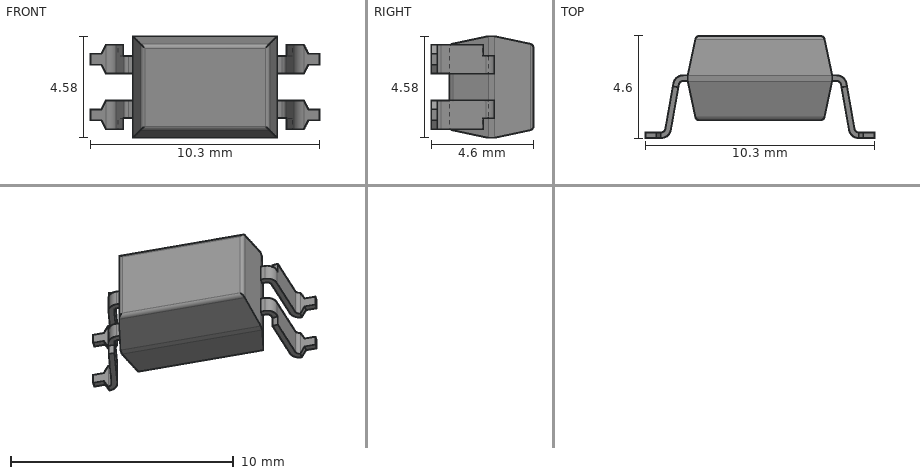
import cadquery as cq
import math

overall_length = 10.3
housing_length = 6.5
housing_height = 4.58
housing_depth = 3.8
band_thickness = 0.26
draft_angle = 12
housing_edge_radius = 0.2
standoff = 0.8

lead_thickness = band_thickness
lead_width = 1.3
lead_gap = 1.2
neck_width = 0.8
neck_leg_length = 0.12
bend_inner_radius = 0.2
bend_outer_radius = bend_inner_radius + lead_thickness
leg_angle = math.radians(10)
foot_length = 0.7
tip_length = 0.5
tip_width = 0.5

housing_end_x = housing_length / 2
lead_end_x = overall_length / 2
lead_top_y = lead_thickness / 2
foot_bottom_y = -housing_depth / 2 - standoff
foot_top_y = foot_bottom_y + lead_thickness
lead_inner_z = lead_gap / 2
lead_outer_z = lead_inner_z + lead_width
foot_start_x = lead_end_x - foot_length

upper_center_y = lead_top_y - bend_outer_radius
lower_center_y = foot_bottom_y + bend_outer_radius
centers_drop = upper_center_y - lower_center_y
radius_sum = bend_inner_radius + bend_outer_radius
centers_run = centers_drop * math.tan(leg_angle) + radius_sum / math.cos(leg_angle)
upper_center = (foot_start_x - centers_run, upper_center_y)
lower_center = (foot_start_x, lower_center_y)


def make_housing():
    """Block drafted to both sides of a straight band, with rounded rims on its two large faces."""
    draft_height = (housing_depth - band_thickness) / 2

    def drafted_half(side):
        return (
            cq.Workplane("XZ", origin=(0, side * band_thickness / 2, 0))
            .rect(housing_length, housing_height)
            .extrude(-side * draft_height, taper=draft_angle)
        )

    band = (
        cq.Workplane("XZ", origin=(0, band_thickness / 2, 0))
        .rect(housing_length, housing_height)
        .extrude(band_thickness)
    )
    block = band.union(drafted_half(1)).union(drafted_half(-1))
    return block.faces("<Y or >Y").edges().fillet(housing_edge_radius)


def bend_point(center, radius, angle):
    """Point on a bend, at an angle measured from the +X direction."""
    return (center[0] + radius * math.cos(angle), center[1] + radius * math.sin(angle))


def lead_strip():
    """Bent strip at full width: shoulder, upper bend, sloping leg, lower bend and foot."""
    upper_start = math.pi / 2
    upper_end = leg_angle
    upper_middle = (upper_start + upper_end) / 2
    lower_start = math.pi + leg_angle
    lower_end = 3 * math.pi / 2
    lower_middle = (lower_start + lower_end) / 2

    return (
        cq.Workplane("XY", origin=(0, 0, lead_inner_z))
        .moveTo(housing_end_x, lead_top_y)
        .lineTo(upper_center[0], lead_top_y)
        .threePointArc(
            bend_point(upper_center, bend_outer_radius, upper_middle),
            bend_point(upper_center, bend_outer_radius, upper_end),
        )
        .lineTo(*bend_point(lower_center, bend_inner_radius, lower_start))
        .threePointArc(
            bend_point(lower_center, bend_inner_radius, lower_middle),
            bend_point(lower_center, bend_inner_radius, lower_end),
        )
        .lineTo(lead_end_x, foot_top_y)
        .lineTo(lead_end_x, foot_bottom_y)
        .lineTo(foot_start_x, foot_bottom_y)
        .threePointArc(
            bend_point(lower_center, bend_outer_radius, lower_middle),
            bend_point(lower_center, bend_outer_radius, lower_start),
        )
        .lineTo(*bend_point(upper_center, bend_inner_radius, upper_end))
        .threePointArc(
            bend_point(upper_center, bend_inner_radius, upper_middle),
            bend_point(upper_center, bend_inner_radius, upper_start),
        )
        .lineTo(housing_end_x, lead_top_y - lead_thickness)
        .close()
        .extrude(lead_width)
    )


def neck_notch():
    """Narrows the strip to the neck, from the housing to a step square across the top of the leg."""
    bend_end = bend_point(upper_center, bend_outer_radius, leg_angle)
    step_x = bend_end[0] + neck_leg_length * math.sin(leg_angle)
    step_y = bend_end[1] - neck_leg_length * math.cos(leg_angle)
    step_inner_y = step_y - (step_x - housing_end_x) * math.tan(leg_angle)
    return (
        cq.Workplane("XY", origin=(0, 0, lead_inner_z + neck_width))
        .moveTo(housing_end_x, lead_top_y)
        .lineTo(step_x, lead_top_y)
        .lineTo(step_x, step_y)
        .lineTo(housing_end_x, step_inner_y)
        .close()
        .extrude(lead_width - neck_width)
    )


def foot_trim():
    """Removes both sides of the foot, leaving a taper down to the narrow tip."""
    tip_start_x = lead_end_x - tip_length
    tip_margin = (lead_width - tip_width) / 2
    trims = cq.Workplane("XZ", origin=(0, foot_top_y, 0))
    for edge_z, inward in ((lead_inner_z, 1), (lead_outer_z, -1)):
        tip_edge_z = edge_z + inward * tip_margin
        trims = (
            trims.moveTo(foot_start_x, edge_z)
            .lineTo(tip_start_x, tip_edge_z)
            .lineTo(lead_end_x, tip_edge_z)
            .lineTo(lead_end_x, edge_z)
            .close()
        )
    return trims.extrude(lead_thickness)


def make_lead():
    """Lead at the +X end, above the middle plane, butting against the end of the parting band."""
    return lead_strip().cut(neck_notch()).cut(foot_trim())


housing = make_housing()

lead = make_lead()
leads = []
for end_mirrored in (False, True):
    end_lead = lead.mirror("YZ") if end_mirrored else lead
    for level_mirrored in (False, True):
        placed_lead = end_lead.mirror("XY") if level_mirrored else end_lead
        leads.append(placed_lead.val())

result = cq.Compound.makeCompound([housing.val(), *leads])